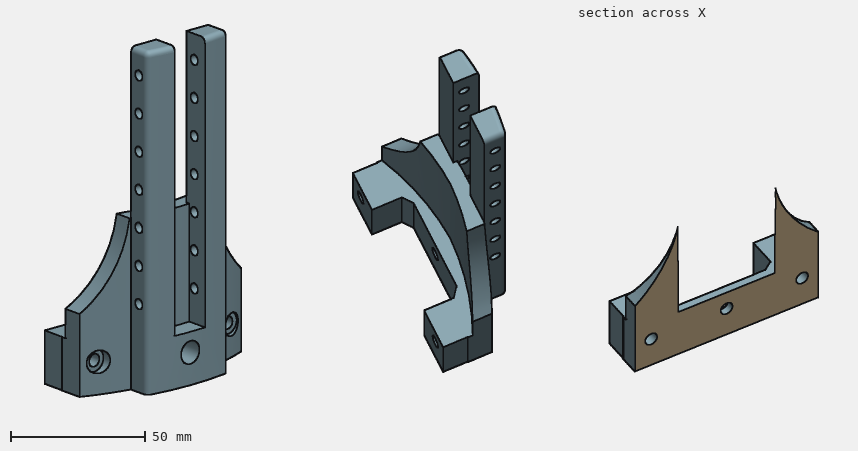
import cadquery as cq
import math

height = 135
depth = 37.0
half_width = 40.03

base_height = 21.0
base_half_width = 39.8
ledge_end_x = 10.0
web_x = 15.3
arm_inner_y = 23.0
pocket_bevel_x = 12.3
pocket_bevel_y = 18.9

plate_outer_radius = 104
plate_outer_apex = 28.1
plate_inner_apex = 21.5
plate_inner_mid = (18.8, 20.2)
plate_inner_end_x = 12.0
plate_height = 67.5
shoulder_height = 32.7
plate_top_half_width = 20.5
flank_mid = (27.0, 48.0)

post_back_x = 26.2
post_inner_y = 7.4
post_outer_y = 20.0
post_rounding = 2.3
bridge_height = base_height
arc_center_x = plate_outer_apex - plate_outer_radius
post_outer_radius = depth - arc_center_x

pin_diameter = 4.0
pin_count = 7
pin_pitch = 15.0
first_pin_z = 34.8
pin_x = 30.6
screw_diameter = 5.0
screw_z = 13.0
screw_y = 33.0
counterbore_diameter = 9.0
counterbore_floor_x = 20.2


def arc_x(radius, y):
    """X of a circle about the shared centre of the outer curves, at offset y."""
    return arc_center_x + math.sqrt(radius**2 - y**2)


def make_base():
    """Block with a bevelled pocket, up to where the plate takes over."""
    block = (
        cq.Workplane("XY")
        .moveTo(0, -base_half_width)
        .lineTo(ledge_end_x, -base_half_width)
        .lineTo(arc_x(plate_outer_radius, base_half_width), -base_half_width)
        .threePointArc(
            (plate_outer_apex, 0),
            (arc_x(plate_outer_radius, base_half_width), base_half_width),
        )
        .lineTo(0, base_half_width)
        .close()
        .extrude(base_height)
    )
    pocket = (
        cq.Workplane("XY")
        .polyline([
            (0, -arm_inner_y),
            (pocket_bevel_x, -arm_inner_y),
            (web_x, -pocket_bevel_y),
            (web_x, pocket_bevel_y),
            (pocket_bevel_x, arm_inner_y),
            (0, arm_inner_y),
        ])
        .close()
        .extrude(base_height)
    )
    return block.cut(pocket)


def plate_section(inner_end_x, height_up):
    """Curved wall; its inner face is two arcs meeting at the middle."""
    mid_x, mid_y = plate_inner_mid
    outer_end_x = arc_x(plate_outer_radius, half_width)
    shift = inner_end_x - plate_inner_end_x
    return (
        cq.Workplane("XY")
        .moveTo(inner_end_x, -half_width)
        .lineTo(outer_end_x, -half_width)
        .threePointArc((plate_outer_apex, 0), (outer_end_x, half_width))
        .lineTo(inner_end_x, half_width)
        .threePointArc((mid_x + shift, mid_y), (plate_inner_apex + shift, 0))
        .threePointArc((mid_x + shift, -mid_y), (inner_end_x, -half_width))
        .close()
        .extrude(height_up)
    )


def make_plate():
    """Curved wall whose flanks sweep in from the shoulders to the top."""
    mid_y, mid_z = flank_mid
    outline = (
        cq.Workplane("YZ")
        .moveTo(-half_width, 0)
        .lineTo(half_width, 0)
        .lineTo(half_width, shoulder_height)
        .threePointArc((mid_y, mid_z), (plate_top_half_width, plate_height))
        .lineTo(-plate_top_half_width, plate_height)
        .threePointArc((-mid_y, mid_z), (-half_width, shoulder_height))
        .close()
        .extrude(depth)
    )
    upper = plate_section(plate_inner_end_x, plate_height).intersect(outline)
    lower = plate_section(ledge_end_x, base_height)
    return upper.union(lower)


def make_posts():
    """Rounded upright bar with a slot that leaves two posts over a low bridge."""
    corner_x = arc_x(post_outer_radius, post_outer_y)
    bar = (
        cq.Workplane("XY")
        .moveTo(post_back_x, -post_outer_y)
        .lineTo(corner_x, -post_outer_y)
        .threePointArc((depth, 0), (corner_x, post_outer_y))
        .lineTo(post_back_x, post_outer_y)
        .close()
        .extrude(height)
    )
    bar = bar.edges("|Z").edges(">X").fillet(post_rounding)
    bar = bar.faces(">Z").edges("not <X").fillet(post_rounding)
    slot = cq.Workplane("XY").box(
        depth, 2 * post_inner_y, height, centered=(False, True, False)
    ).translate((post_back_x, 0, bridge_height))
    return bar.cut(slot)


def x_cylinder(diameter, start_x, y):
    """Cutter along X at screw height, running out past the far side."""
    return (
        cq.Workplane("YZ", origin=(start_x, 0, 0))
        .center(y, screw_z)
        .circle(diameter / 2)
        .extrude(depth - start_x)
    )


result = make_base().union(make_plate()).union(make_posts())

for y in (-screw_y, 0, screw_y):
    result = result.cut(x_cylinder(screw_diameter, 0, y))
    result = result.cut(x_cylinder(counterbore_diameter, counterbore_floor_x, y))

pins = (
    cq.Workplane("XZ", origin=(0, half_width, 0))
    .pushPoints([(pin_x, first_pin_z + i * pin_pitch) for i in range(pin_count)])
    .circle(pin_diameter / 2)
    .extrude(2 * half_width)
)
result = result.cut(pins)